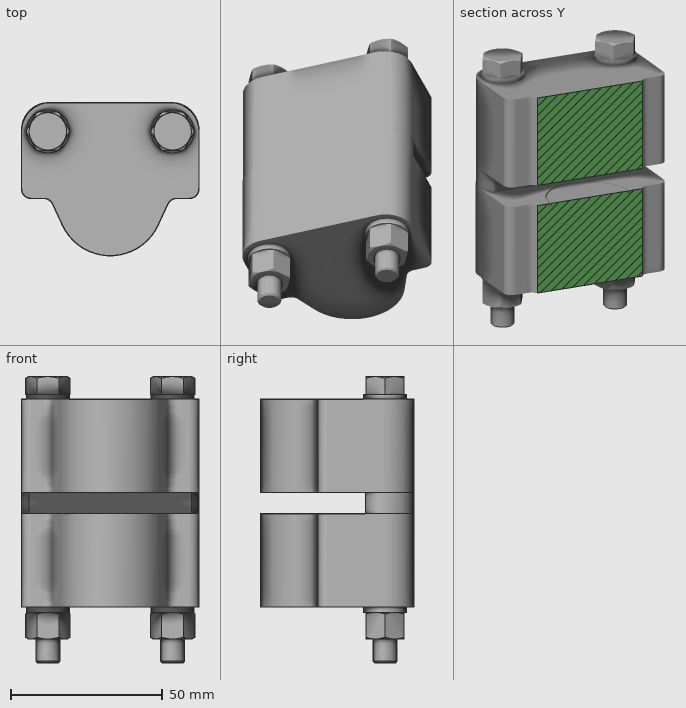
import cadquery as cq
import math

block_width = 58.75
block_depth = 50.73
block_height = 30.96
nose_radius = 17.46
nose_flank_angle = math.radians(25)
shoulder_depth = 31.75
shoulder_radius = 3.175
upper_back_radius = 9.6
lower_back_radius = 9.05

gap = 6.9
spacer_depth = 16.0
spacer_radius = 9.525

pin_diameter = 28.32
groove_width = 0.5
groove_depth = 0.5

bolt_spacing = 41.28
bolt_inset = 9.525
bolt_diameter = 7.94
bolt_tip_chamfer = 0.59
bolt_protrusion = 7.94
washer_diameter = 14.28
upper_washer_thickness = 1.49
lower_washer_thickness = 1.75
hex_sides = 6
hex_across_flats = 12.7
hex_bevel_angle = math.radians(30)
head_height = 6.05
head_top_diameter = 12.4
nut_height = 8.82
nut_face_diameter = hex_across_flats

back_y = block_depth - nose_radius
shoulder_y = back_y - shoulder_depth
bolt_y = back_y - bolt_inset
half_width = block_width / 2
hex_across_corners = hex_across_flats / math.cos(math.pi / hex_sides)
upper_bottom_z = gap / 2
upper_top_z = upper_bottom_z + block_height
lower_top_z = -gap / 2
lower_bottom_z = lower_top_z - block_height
head_z = upper_top_z + upper_washer_thickness
nut_top_z = lower_bottom_z - lower_washer_thickness
nut_bottom_z = nut_top_z - nut_height
bolt_tip_z = nut_bottom_z - bolt_protrusion


def make_block(bottom_z, back_radius):
    """Plate with rounded back corners, two shoulders and a round nose."""
    tangent_x = nose_radius * math.cos(nose_flank_angle)
    tangent_y = -nose_radius * math.sin(nose_flank_angle)
    root_x = tangent_x + (shoulder_y - tangent_y) * math.tan(nose_flank_angle)
    block = (
        cq.Workplane("XY")
        .workplane(offset=bottom_z)
        .moveTo(-half_width, back_y)
        .lineTo(-half_width, shoulder_y)
        .lineTo(-root_x, shoulder_y)
        .lineTo(-tangent_x, tangent_y)
        .threePointArc((0, -nose_radius), (tangent_x, tangent_y))
        .lineTo(root_x, shoulder_y)
        .lineTo(half_width, shoulder_y)
        .lineTo(half_width, back_y)
        .close()
        .extrude(block_height)
    )
    middle_z = bottom_z + block_height / 2
    for side in (-1, 1):
        for corner_x, corner_y, radius in (
            (half_width, back_y, back_radius),
            (half_width, shoulder_y, shoulder_radius),
            (root_x, shoulder_y, shoulder_radius),
        ):
            nearest = cq.selectors.NearestToPointSelector((side * corner_x, corner_y, middle_z))
            block = block.edges("|Z").edges(nearest).fillet(radius)
    return block


def make_bar(width, front_y):
    """Box that fills the gap over the depth of the spacer."""
    bar = cq.Workplane("XY").box(width, spacer_depth, gap, centered=(True, False, True))
    return bar.translate((0, front_y, 0))


def make_spacer():
    """Bar along the back whose end arcs run past the tangent to the front face."""
    front_y = back_y - spacer_depth
    arc_x = half_width - spacer_radius
    bar = make_bar(2 * arc_x, front_y)
    ends = (
        cq.Workplane("XY")
        .workplane(offset=lower_top_z)
        .pushPoints([(-arc_x, back_y - spacer_radius), (arc_x, back_y - spacer_radius)])
        .circle(spacer_radius)
        .extrude(gap)
    )
    envelope = make_bar(block_width, front_y)
    return bar.union(ends.intersect(envelope))


def make_pin_groove():
    """Ring cut around the pin end in the top face of the lower block."""
    pin_radius = pin_diameter / 2
    return (
        cq.Workplane("XY")
        .workplane(offset=lower_top_z - groove_depth)
        .circle(pin_radius + groove_width)
        .circle(pin_radius)
        .extrude(groove_depth)
    )


def make_cylinder(diameter, bottom_z, height):
    return cq.Workplane("XY").workplane(offset=bottom_z).circle(diameter / 2).extrude(height)


def make_hexagon(bottom_z, height):
    return cq.Workplane("XY").workplane(offset=bottom_z).polygon(hex_sides, hex_across_corners).extrude(height)


def make_bevel_envelope(face_diameter, face_z, inward):
    """Turned cone that opens from a hexagon's face circle along inward (+1 up, -1 down)."""
    face_radius = face_diameter / 2
    base_radius = face_radius + nut_height / math.tan(hex_bevel_angle)
    base_z = face_z + inward * nut_height
    return (
        cq.Workplane("XZ")
        .polyline([(0, face_z), (face_radius, face_z), (base_radius, base_z), (0, base_z)])
        .close()
        .revolve(360, (0, 0, 0), (0, 1, 0))
    )


def make_bolt():
    """Bolt, its two washers and its nut, on the Z axis."""
    head = make_hexagon(head_z, head_height).intersect(
        make_bevel_envelope(head_top_diameter, head_z + head_height, -1)
    )
    nut = (
        make_hexagon(nut_bottom_z, nut_height)
        .intersect(make_bevel_envelope(nut_face_diameter, nut_bottom_z, 1))
        .intersect(make_bevel_envelope(nut_face_diameter, nut_top_z, -1))
    )
    shank = make_cylinder(bolt_diameter, bolt_tip_z, head_z - bolt_tip_z)
    shank = shank.faces("<Z").chamfer(bolt_tip_chamfer)
    upper_washer = make_cylinder(washer_diameter, upper_top_z, upper_washer_thickness)
    lower_washer = make_cylinder(washer_diameter, nut_top_z, lower_washer_thickness)
    return shank.union(head).union(nut).union(upper_washer).union(lower_washer)


upper_block = make_block(upper_bottom_z, upper_back_radius)
lower_block = make_block(lower_bottom_z, lower_back_radius).cut(make_pin_groove())
result = upper_block.union(lower_block).union(make_spacer())

bolt = make_bolt()
for side in (-1, 1):
    result = result.union(bolt.translate((side * bolt_spacing / 2, bolt_y, 0)))